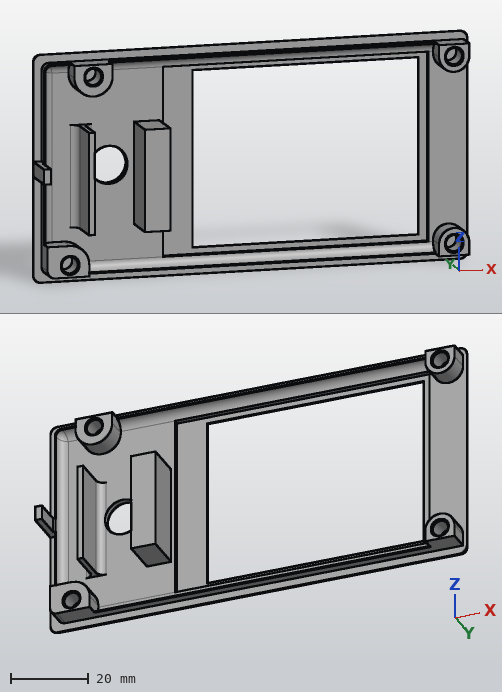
import cadquery as cq

LENGTH = 116
HEIGHT = 60.0
FLANGE_DEPTH = 2.0
EDGE_RADIUS = FLANGE_DEPTH

FLANGE_WIDTH = 2.2
RIM_DEPTH = 4.4
RIM_WALL = 0.3
RIM_CORNER_RADIUS = 2.0
RIM_COVE = 2.4
RIM_TOP = HEIGHT / 2 - FLANGE_WIDTH

FLOOR_DEPTH = FLANGE_DEPTH
FLOOR_TOP = RIM_TOP - RIM_WALL - RIM_COVE
RECESS_LEFT = 34.7
RECESS_RIGHT = 105.7
RECESS_FLOOR = 0.5
WINDOW_LEFT = 43.0
WINDOW_RIGHT = 103.4
WINDOW_TOP = 23.3

BOSS_DEPTH = 7.8
BOSS_Z = 24.6
SMALL_BOSS_RADIUS = 4.1
LARGE_BOSS_RADIUS = 5.1
RIGHT_BOSS_X = 110.9
TOP_LEFT_BOSS_X = 14.5
BOTTOM_LEFT_BOSS_X = 8.2
SCREW_DIAMETER = 4.3
SCREW_CHAMFER = 0.3

OVERALL_DEPTH = 12.6
HOLDER_BOTTOM = -15.9
HOLDER_TOP = 11.0
FIN_LEFT = 12.0
FIN_RIGHT = 13.5
FIN_FILLET = 2.0
BLOCK_LEFT = 26.9
BLOCK_RIGHT = 33.6
HOLE_X = 20.2
HOLE_DIAMETER = 10.0

TAB_DEPTH = 12.3
TAB_THICKNESS = 1.9
TAB_FOOT_DEPTH = 4.6
TAB_HALF_WIDTH = 2.0


def slab(x0, x1, z0, z1, depth0, depth1):
    """Box between two depths measured from the outer face."""
    return cq.Workplane("XY").box(x1 - x0, depth1 - depth0, z1 - z0, centered=False).translate((x0, -depth1, z0))


def cylinder(x, z, radius, depth0, depth1):
    """Round bar along Y between two depths."""
    plane = cq.Workplane("XZ", origin=(x, -depth0, z))
    return plane.circle(radius).extrude(depth1 - depth0)


def flange():
    """Plate whose outer edges are rounded over their whole thickness."""
    half = HEIGHT / 2
    blank = slab(0, LENGTH, -half, half, 0, 3 * FLANGE_DEPTH)
    blank = blank.edges("|Y or >Y").fillet(EDGE_RADIUS)
    return blank.intersect(slab(0, LENGTH, -half, half, 0, FLANGE_DEPTH))


def rim_outline(right, depth):
    """Solid within the rim's outer wall, with rounded left corners."""
    body = slab(FLANGE_WIDTH, right, -RIM_TOP, RIM_TOP, FLOOR_DEPTH, depth)
    return body.edges("|Y and <X").fillet(RIM_CORNER_RADIUS)


def rim_hollow():
    """Space inside the rim; a concave cove joins its wall to the floor."""
    left = FLANGE_WIDTH + RIM_WALL
    top = RIM_TOP - RIM_WALL
    space = slab(left, LENGTH + RIM_COVE, -top, top, FLOOR_DEPTH, RIM_DEPTH + 1.2)
    space = space.edges("|Y and <X").fillet(RIM_CORNER_RADIUS - RIM_WALL)
    return space.faces(">Y").edges().fillet(RIM_COVE)


def boss(x, side, radius):
    """Round boss extended straight to the top (side 1) or bottom (side -1) rim."""
    z = side * BOSS_Z
    rim_z = side * RIM_TOP
    foot = slab(x - radius, x + radius, min(z, rim_z), max(z, rim_z), FLOOR_DEPTH, BOSS_DEPTH)
    limit = slab(0, LENGTH, -RIM_TOP, RIM_TOP, 0, BOSS_DEPTH)
    return cylinder(x, z, radius, FLOOR_DEPTH, BOSS_DEPTH).intersect(limit).union(foot)


def corner_boss():
    """Bottom left boss, which also fills the corner of the rim."""
    x = BOTTOM_LEFT_BOSS_X
    upper = LARGE_BOSS_RADIUS - BOSS_Z
    body = boss(x, -1, LARGE_BOSS_RADIUS)
    body = body.union(slab(FLANGE_WIDTH, x, -RIM_TOP, upper, FLOOR_DEPTH, BOSS_DEPTH))
    return body.intersect(rim_outline(LENGTH, BOSS_DEPTH))


def screw_hole(x, z):
    """Blind hole with a chamfered mouth."""
    radius = SCREW_DIAMETER / 2
    mouth = cq.Workplane("XZ", origin=(x, -BOSS_DEPTH, z)).circle(radius + SCREW_CHAMFER)
    mouth = mouth.extrude(-SCREW_CHAMFER, taper=45)
    return cylinder(x, z, radius, FLANGE_DEPTH, BOSS_DEPTH).union(mouth)


def fin():
    """Upright fin with a concave fillet along both sides of its root."""
    root = FLOOR_DEPTH + FIN_FILLET
    body = slab(FIN_LEFT - FIN_FILLET, FIN_RIGHT + FIN_FILLET, HOLDER_BOTTOM, HOLDER_TOP, FLOOR_DEPTH, root)
    for x in (FIN_LEFT - FIN_FILLET, FIN_RIGHT + FIN_FILLET):
        groove = cq.Workplane("XY", origin=(x, -root, HOLDER_BOTTOM)).circle(FIN_FILLET)
        body = body.cut(groove.extrude(HOLDER_TOP - HOLDER_BOTTOM))
    return body.union(slab(FIN_LEFT, FIN_RIGHT, HOLDER_BOTTOM, HOLDER_TOP, FLOOR_DEPTH, OVERALL_DEPTH))


def tab():
    """Upright tab with a low foot that meets the rim."""
    width = (-TAB_HALF_WIDTH, TAB_HALF_WIDTH)
    foot = slab(0, FLANGE_WIDTH + RIM_WALL, *width, FLANGE_DEPTH, TAB_FOOT_DEPTH)
    return foot.union(slab(0, TAB_THICKNESS, *width, FLANGE_DEPTH, TAB_DEPTH))


result = flange().union(rim_outline(RIGHT_BOSS_X, RIM_DEPTH))
result = result.cut(rim_hollow())
result = result.cut(slab(RECESS_LEFT, RECESS_RIGHT, -FLOOR_TOP, FLOOR_TOP, RECESS_FLOOR, RIM_DEPTH))
result = result.cut(slab(WINDOW_LEFT, WINDOW_RIGHT, -WINDOW_TOP, WINDOW_TOP, 0, RIM_DEPTH))

result = result.union(boss(RIGHT_BOSS_X, 1, SMALL_BOSS_RADIUS))
result = result.union(boss(RIGHT_BOSS_X, -1, SMALL_BOSS_RADIUS))
result = result.union(boss(TOP_LEFT_BOSS_X, 1, LARGE_BOSS_RADIUS))
result = result.union(corner_boss())
result = result.union(fin())
result = result.union(slab(BLOCK_LEFT, BLOCK_RIGHT, HOLDER_BOTTOM, HOLDER_TOP, FLOOR_DEPTH, OVERALL_DEPTH))
result = result.union(tab())

SCREW_POSITIONS = (
    (RIGHT_BOSS_X, BOSS_Z),
    (RIGHT_BOSS_X, -BOSS_Z),
    (TOP_LEFT_BOSS_X, BOSS_Z),
    (BOTTOM_LEFT_BOSS_X, -BOSS_Z),
)
for screw_x, screw_z in SCREW_POSITIONS:
    result = result.cut(screw_hole(screw_x, screw_z))
result = result.cut(cylinder(HOLE_X, 0, HOLE_DIAMETER / 2, 0, OVERALL_DEPTH))